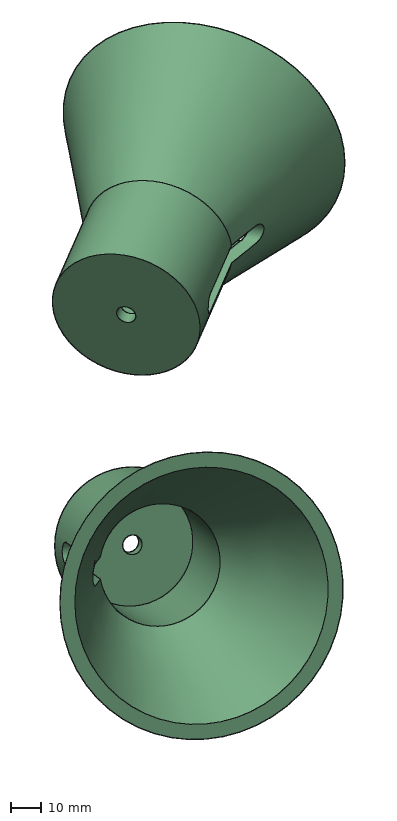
import cadquery as cq
import math

mouth_radius = 48.4
neck_radius = 25.4
total_length = 95.3
neck_length = 39.6
wall = 4.7
end_hole_diameter = 6.6
slot_width = 7.6
slot_start = 10.0
slot_end = 55.2

flare_length = total_length - neck_length
flare_angle = math.atan2(mouth_radius - neck_radius, flare_length)
flare_wall_radial = wall / math.cos(flare_angle)
inner_neck_radius = neck_radius - wall
inner_mouth_radius = mouth_radius - flare_wall_radial
inner_neck_end = neck_length + (flare_wall_radial - wall) / math.tan(flare_angle)


def make_shell():
    """Hollow neck with a closed end at Y = 0, flaring to an open mouth."""
    outline = [
        (0, 0),
        (neck_radius, 0),
        (neck_radius, neck_length),
        (mouth_radius, total_length),
        (inner_mouth_radius, total_length),
        (inner_neck_radius, inner_neck_end),
        (inner_neck_radius, wall),
        (0, wall),
    ]
    return cq.Workplane("XY").polyline(outline).close().revolve(360, (0, 0), (0, 1))


def make_end_hole():
    """Cutter for the central hole through the closed end."""
    return cq.Workplane("XZ").circle(end_hole_diameter / 2).extrude(-2 * wall)


def make_side_slot():
    """Cutter along +X for the round-ended slot through one side of neck and flare."""
    slot_length = slot_end - slot_start
    slot_centre = (slot_start + slot_end) / 2
    return (
        cq.Workplane("YZ")
        .center(slot_centre, 0)
        .slot2D(slot_length, slot_width)
        .extrude(mouth_radius)
    )


result = make_shell().cut(make_end_hole()).cut(make_side_slot())